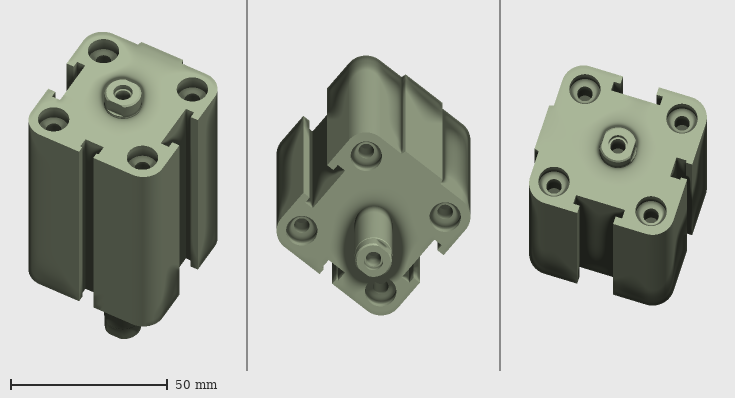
import cadquery as cq

WIDTH = 48.0
HOUSING_LENGTH = 74.5
CORNER_RADIUS = 7.0
HALF_WIDTH = WIDTH / 2

RAIL_HEIGHT = 1.5
RAIL_BASE_WIDTH = 16.0
RAIL_TOP_WIDTH = 15.2

SIDE_MOUTH_WIDTH = 12.0
SIDE_POCKET_WIDTH = 16.4
SIDE_LIP = 2.6
SIDE_DEPTH = 5.6
FRONT_MOUTH_WIDTH = 5.2
FRONT_POCKET_WIDTH = 6.7
FRONT_LIP = 2.1
FRONT_DEPTH = 5.5

END_CAP_LENGTH = 14.5
HOLE_SPACING = 32.5
HOLE_DIAMETER = 4.92
COUNTERBORE_DIAMETER = 10.0
COUNTERBORE_DEPTH = 5.0

ROD_DIAMETER = 12.0
ROD_BELOW = 36.0
ROD_ABOVE = 6.0
ROD_LENGTH = ROD_BELOW + HOUSING_LENGTH + ROD_ABOVE
NECK_DIAMETER = 11.7
NECK_LENGTH = 5.75
SHOULDER_CHAMFER = 0.3
TIP_CHAMFER = 0.5
FLAT_LENGTH = 5.0
ACROSS_FLATS = 10.0
ROD_HOLE_DIAMETER = 4.92
ROD_HOLE_DEPTH = 12.0
ROD_RECESS_DIAMETER = 6.2
ROD_RECESS_DEPTH = 2.0


def side_rail():
    """Trapezoidal rail on the +Y face; its root reaches into the housing so that the two fuse."""
    base = RAIL_BASE_WIDTH / 2
    top = RAIL_TOP_WIDTH / 2
    outline = [
        (-base, 0),
        (-base, HALF_WIDTH),
        (-top, HALF_WIDTH + RAIL_HEIGHT),
        (top, HALF_WIDTH + RAIL_HEIGHT),
        (base, HALF_WIDTH),
        (base, 0),
    ]
    return cq.Workplane("XY").polyline(outline).close().extrude(HOUSING_LENGTH)


def t_slot(mouth_width, pocket_width, lip, depth, angle):
    """Full-length T-slot cutter in the -Y face, turned about Z to the face at the given angle."""
    mouth = (
        cq.Workplane("XY")
        .box(mouth_width, depth, HOUSING_LENGTH, centered=(True, False, False))
        .translate((0, -HALF_WIDTH, 0))
    )
    pocket = (
        cq.Workplane("XY")
        .box(pocket_width, depth - lip, HOUSING_LENGTH, centered=(True, False, False))
        .translate((0, lip - HALF_WIDTH, 0))
    )
    return mouth.union(pocket).rotate((0, 0, 0), (0, 0, 1), angle)


def corner_cylinders(diameter, bottom, height):
    """Four cylinders on the corner hole pattern."""
    return (
        cq.Workplane("XY")
        .workplane(offset=bottom)
        .rect(HOLE_SPACING, HOLE_SPACING, forConstruction=True)
        .vertices()
        .circle(diameter / 2)
        .extrude(height)
    )


def make_housing():
    body = (
        cq.Workplane("XY")
        .box(WIDTH, WIDTH, HOUSING_LENGTH, centered=(True, True, False))
        .edges("|Z")
        .fillet(CORNER_RADIUS)
        .union(side_rail())
    )
    body = body.cut(t_slot(FRONT_MOUTH_WIDTH, FRONT_POCKET_WIDTH, FRONT_LIP, FRONT_DEPTH, 0))
    for angle in (90, -90):
        body = body.cut(t_slot(SIDE_MOUTH_WIDTH, SIDE_POCKET_WIDTH, SIDE_LIP, SIDE_DEPTH, angle))

    for bottom in (0, HOUSING_LENGTH - END_CAP_LENGTH):
        body = body.cut(corner_cylinders(HOLE_DIAMETER, bottom, END_CAP_LENGTH))
    for bottom in (0, HOUSING_LENGTH - COUNTERBORE_DEPTH):
        body = body.cut(corner_cylinders(COUNTERBORE_DIAMETER, bottom, COUNTERBORE_DEPTH))

    rod_bore = cq.Workplane("XY").circle(ROD_DIAMETER / 2).extrude(HOUSING_LENGTH)
    return body.cut(rod_bore)


def half_rod():
    """Upper half of the rod, standing on its mid-plane at Z = 0."""
    half_length = ROD_LENGTH / 2
    rod_radius = ROD_DIAMETER / 2
    neck_radius = NECK_DIAMETER / 2
    recess_radius = ROD_RECESS_DIAMETER / 2
    hole_radius = ROD_HOLE_DIAMETER / 2
    shoulder = half_length - NECK_LENGTH
    profile = [
        (0, 0),
        (rod_radius, 0),
        (rod_radius, shoulder),
        (neck_radius, shoulder + SHOULDER_CHAMFER),
        (neck_radius, half_length - TIP_CHAMFER),
        (neck_radius - TIP_CHAMFER, half_length),
        (recess_radius, half_length),
        (recess_radius, half_length - ROD_RECESS_DEPTH),
        (hole_radius, half_length - ROD_RECESS_DEPTH),
        (hole_radius, half_length - ROD_HOLE_DEPTH),
        (0, half_length - ROD_HOLE_DEPTH),
    ]
    half = cq.Workplane("XZ").polyline(profile).close().revolve(360, (0, 0, 0), (0, 1, 0))

    for side in (-1, 1):
        waste = (
            cq.Workplane("XY")
            .box(ROD_DIAMETER, ROD_DIAMETER, FLAT_LENGTH, centered=(True, True, False))
            .translate((0, side * (ACROSS_FLATS + ROD_DIAMETER) / 2, half_length - FLAT_LENGTH))
        )
        half = half.cut(waste)
    return half


def make_rod():
    upper = half_rod()
    lower = upper.mirror("XY")
    return upper.union(lower).translate((0, 0, ROD_LENGTH / 2 - ROD_BELOW))


housing = make_housing()
rod = make_rod()

result = cq.Compound.makeCompound([housing.val(), rod.val()])